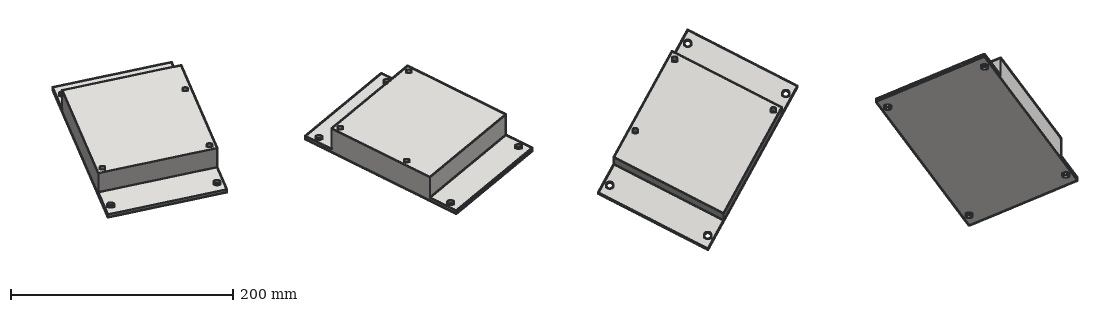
import cadquery as cq
import math

plate_length = 172.0
width = 112.0
plate_thickness = 3.8

block_length = 112.0
block_height = 24.0
total_height = plate_thickness + block_height

mount_hole_diameter = 6.5
mount_spacing_x = 150.0
mount_spacing_y = 100.0

blind_hole_diameter = 5.04
blind_hole_depth = 15.0
drill_point_angle = 118.0
blind_hole_inset = 5.6
blind_hole_y = width / 2 - blind_hole_inset
blind_right_x = block_length / 2 - blind_hole_inset
blind_left_x = -blind_right_x / 2
blind_hole_centres = [
    (blind_left_x, blind_hole_y),
    (blind_right_x, blind_hole_y),
    (blind_right_x, -blind_hole_y),
]


def make_body():
    """Flat plate with the block standing on it; the bottom lies at Z = 0."""
    plate = cq.Workplane("XY").box(plate_length, width, plate_thickness, centered=(True, True, False))
    block = cq.Workplane("XY").box(block_length, width, total_height, centered=(True, True, False))
    return plate.union(block)


def make_mount_holes():
    """Cylinders for the four flange holes."""
    return (
        cq.Workplane("XY")
        .rarray(mount_spacing_x, mount_spacing_y, 2, 2)
        .circle(mount_hole_diameter / 2)
        .extrude(plate_thickness)
    )


def make_blind_hole(x, y):
    """Drilled hole with a conical bottom, entering from the top of the block."""
    radius = blind_hole_diameter / 2
    point_length = radius / math.tan(math.radians(drill_point_angle / 2))
    shoulder_z = total_height - blind_hole_depth
    profile = (
        cq.Workplane("XZ")
        .moveTo(0, total_height)
        .lineTo(radius, total_height)
        .lineTo(radius, shoulder_z)
        .lineTo(0, shoulder_z - point_length)
        .close()
    )
    return profile.revolve(360, (0, 0, 0), (0, 1, 0)).translate((x, y, 0))


result = make_body().cut(make_mount_holes())
for centre_x, centre_y in blind_hole_centres:
    result = result.cut(make_blind_hole(centre_x, centre_y))